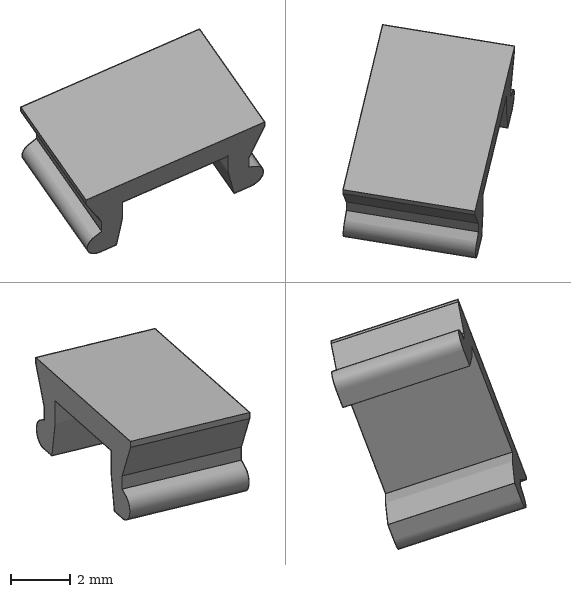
import cadquery as cq
import math

length_x = 4.55
width_y = 6.9
height = 3.2

rim_height = 0.23
neck_half_width = 2.84
neck_top_depth = 1.595
neck_bottom_depth = 2.1

bead_radius = 0.51
bead_half_width = 3.4
bead_start_depth = 2.255

channel_half_width = 2.035
channel_depth = 1.0
flare_depth = 1.86
foot_inner_half_width = 2.27

half_width = width_y / 2
bead_center_y = bead_half_width - bead_radius
bead_center_z = bead_radius - height

bead_start_z = -bead_start_depth
bead_start_y = bead_center_y + math.sqrt(bead_radius**2 - (bead_start_z - bead_center_z) ** 2)


def half_section():
    """Section in Y and Z for the +Y half, with the top face at zero height."""
    return (
        cq.Workplane("YZ", origin=(-length_x / 2, 0, 0))
        .moveTo(0, 0)
        .lineTo(half_width, 0)
        .lineTo(half_width, -rim_height)
        .lineTo(neck_half_width, -neck_top_depth)
        .lineTo(neck_half_width, -neck_bottom_depth)
        .lineTo(bead_start_y, bead_start_z)
        .threePointArc((bead_half_width, bead_center_z), (bead_center_y, -height))
        .lineTo(foot_inner_half_width, -height)
        .lineTo(channel_half_width, -flare_depth)
        .lineTo(channel_half_width, -channel_depth)
        .lineTo(0, -channel_depth)
        .close()
    )


half = half_section().extrude(length_x)
result = half.union(half.mirror("XZ")).clean()